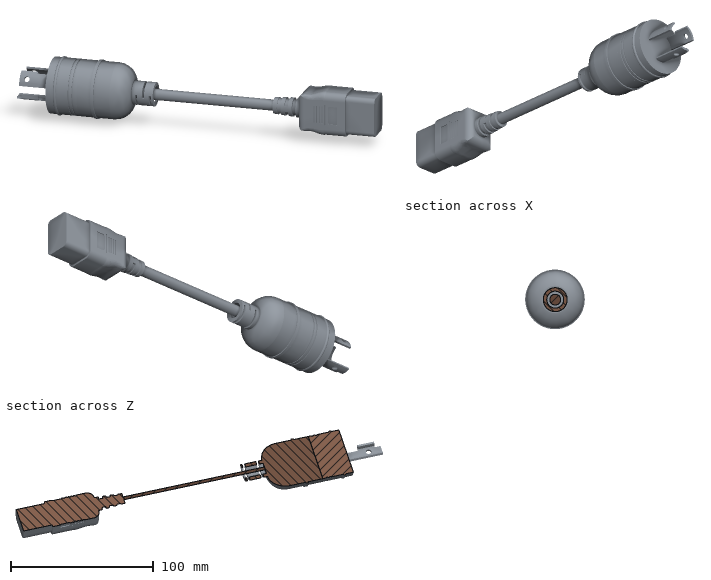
import cadquery as cq
import math


PLUG_FACE = 25.8
SHELL_START = 48.3
DOME_START = 72.3
DOME_RADIUS = 13.1
COLLAR_START = 85.1
COLLAR_END = 100.6
RELIEF_START = 187.4
BLOCK_START = 207.0
LOFT_START = 212.0
GRIP_END = 227.0
SLEEVE_END = 242.0
CORD_END = 262.8

PLUG_RADIUS = 40.2 / 2
RING_RADIUS = 41.8 / 2
FRONT_RING_START = 31.3
FRONT_RING_WIDTH = 2.0
SHELL_RING_START = 58.5
SHELL_RING_WIDTH = 2.0
GROOVE_DEPTH = 0.5
GROOVES = [(42.0, 1.0), (44.7, 1.0)]

BLADE_OUTER = 11.8
BLADE_INNER = 10.2
BLADE_THICKNESS = BLADE_OUTER - BLADE_INNER
BLADE_TIP = 4.2
HOOK_END = 16.3
HOLE_X = 9.5
HOLE_DIAMETER = 4.0
PLAIN_BLADE_ANGLE = 30
LATCH_BLADE_ANGLE = 150
EARTH_BLADE_ANGLE = 270
PLAIN_BLADE_HALF_SPAN = 22
LATCH_BLADE_HALF_SPAN = 25
LATCH_HOOK_SPAN = 8
EARTH_BLADE_START = 255
EARTH_BLADE_END = 292
EARTH_HOOK_START = 249
EARTH_LIP_OUTER = 5.5
EARTH_LIP_TOP = -7.0
EARTH_LIP_BEND = 1.3

CABLE_RADIUS = 4.0
COLLAR_RADIUS = 17.0 / 2
COLLAR_BORE_RADIUS = 5.8
SLOT_WIDTH = 1.5
SLOT_PITCH = 5.0
MIDDLE_SLOT_X = 93.5
SLOT_PAST_AXIS = 1.18

RELIEF_SMALL_RADIUS = 11.8 / 2
RELIEF_LARGE_RADIUS = 14.5 / 2
RELIEF_GROOVE_RADIUS = 5.5
RELIEF_GROOVE_WIDTH = 2.5
RELIEF_GROOVE_STARTS = [190.5, 196.0, 201.5]
TAB_GROOVE_START = RELIEF_GROOVE_STARTS[1]
TAB_HEIGHT = 4.0

BLOCK_HALF_WIDTH = 23.5 / 2
BLOCK_HALF_HEIGHT = 27.0 / 2
BLOCK_CORNER = 2.4
BLOCK_END_ROUND = LOFT_START - BLOCK_START
SLEEVE_HALF_HEIGHT = 31.3 / 2
SLEEVE_CORNER = 5.0
SLOPE_START = 216.5
SLOPE_END = 224.1
SOCKET_INSET = 1.5

GRIP_START = 219.0
GRIP_PITCH = 1.97
GRIP_COUNT = 4
GRIP_GROOVE_WIDTH = 0.8
GRIP_HEIGHT = 12.4
LONG_GRIP_HEIGHT = 15.5
PANEL_START = 229.5
PANEL_END = 236.2
PANEL_HEIGHT = 13.1
PANEL_CORNER = 0.8
SIDE_RECESS = 0.5


def cylinder(start, end, radius):
    return cq.Workplane("YZ", origin=(start, 0, 0)).circle(radius).extrude(end - start)


def tube(start, end, outer, inner):
    return cq.Workplane("YZ", origin=(start, 0, 0)).circle(outer).circle(inner).extrude(end - start)


def block(x_range, y_range, z_range):
    """Box between the given low and high limits."""
    low = cq.Vector(x_range[0], y_range[0], z_range[0])
    high = cq.Vector(x_range[1], y_range[1], z_range[1])
    size = high - low
    return cq.Workplane(cq.Solid.makeBox(size.x, size.y, size.z, low))


def polar(radius, degrees):
    angle = math.radians(degrees)
    return radius * math.cos(angle), radius * math.sin(angle)


def curved_blade(start, end, first_angle, last_angle):
    """Plate bent about the X axis between two angles."""
    middle = (first_angle + last_angle) / 2
    return (
        cq.Workplane("YZ", origin=(start, 0, 0))
        .moveTo(*polar(BLADE_INNER, first_angle))
        .lineTo(*polar(BLADE_OUTER, first_angle))
        .threePointArc(polar(BLADE_OUTER, middle), polar(BLADE_OUTER, last_angle))
        .lineTo(*polar(BLADE_INNER, last_angle))
        .threePointArc(polar(BLADE_INNER, middle), polar(BLADE_INNER, first_angle))
        .close()
        .extrude(end - start)
    )


def blade_hole(angle):
    """Radial cutter through a blade."""
    y, z = polar(1, angle)
    plane = cq.Plane(origin=(HOLE_X, 0, 0), xDir=(1, 0, 0), normal=(0, y, z))
    return cq.Workplane(plane).circle(HOLE_DIAMETER / 2).extrude(PLUG_RADIUS)


def plain_blade():
    first = PLAIN_BLADE_ANGLE - PLAIN_BLADE_HALF_SPAN
    last = PLAIN_BLADE_ANGLE + PLAIN_BLADE_HALF_SPAN
    return curved_blade(BLADE_TIP, PLUG_FACE, first, last).cut(blade_hole(PLAIN_BLADE_ANGLE))


def latch_blade():
    first = LATCH_BLADE_ANGLE - LATCH_BLADE_HALF_SPAN
    last = LATCH_BLADE_ANGLE + LATCH_BLADE_HALF_SPAN
    blade = curved_blade(BLADE_TIP, PLUG_FACE, first, last)
    hook = curved_blade(BLADE_TIP, HOOK_END, first - LATCH_HOOK_SPAN, first)
    return blade.union(hook).cut(blade_hole(LATCH_BLADE_ANGLE))


def earth_blade():
    """Longest blade, with a side hook that ends in an upright lip."""
    blade = curved_blade(0, PLUG_FACE, EARTH_BLADE_START, EARTH_BLADE_END)
    hook = curved_blade(BLADE_TIP, HOOK_END, EARTH_HOOK_START, EARTH_BLADE_START)
    lip_bottom = polar(BLADE_OUTER, EARTH_HOOK_START)[1]
    lip = block(
        (BLADE_TIP, HOOK_END),
        (-EARTH_LIP_OUTER, BLADE_THICKNESS - EARTH_LIP_OUTER),
        (lip_bottom, EARTH_LIP_TOP),
    )
    lip = lip.edges("|X and <Y and <Z").fillet(EARTH_LIP_BEND)
    return blade.union(hook).union(lip).cut(blade_hole(EARTH_BLADE_ANGLE))


def make_plug():
    """Plug front with a raised rounded ring, two grooves and three blades."""
    plug = cylinder(PLUG_FACE, SHELL_START, PLUG_RADIUS)
    ring_end = FRONT_RING_START + FRONT_RING_WIDTH
    ring_middle = (FRONT_RING_START + ring_end) / 2
    ring = (
        cq.Workplane("XZ")
        .moveTo(FRONT_RING_START, 0)
        .lineTo(FRONT_RING_START, PLUG_RADIUS)
        .threePointArc((ring_middle, RING_RADIUS), (ring_end, PLUG_RADIUS))
        .lineTo(ring_end, 0)
        .close()
        .revolve(360, (0, 0, 0), (1, 0, 0))
    )
    plug = plug.union(ring)
    for start, width in GROOVES:
        plug = plug.cut(tube(start, start + width, RING_RADIUS, PLUG_RADIUS - GROOVE_DEPTH))
    for blade in (plain_blade(), latch_blade(), earth_blade()):
        plug = plug.union(blade)
    return plug


def collar_slot(index):
    """Slot cut past the axis: from above in the middle of the collar, from below beside it."""
    middle = MIDDLE_SLOT_X + index * SLOT_PITCH
    if index == 0:
        z_range = (-SLOT_PAST_AXIS, PLUG_RADIUS)
    else:
        z_range = (-PLUG_RADIUS, SLOT_PAST_AXIS)
    x_range = (middle - SLOT_WIDTH / 2, middle + SLOT_WIDTH / 2)
    return block(x_range, (-PLUG_RADIUS, PLUG_RADIUS), z_range)


def make_shell():
    """Domed rear shell with a raised ring and a slotted collar that clears the cable."""
    dome_length = COLLAR_START - DOME_START
    dome_drop = DOME_RADIUS - math.sqrt(DOME_RADIUS**2 - dome_length**2)
    shell = (
        cq.Workplane("XZ")
        .moveTo(SHELL_START, 0)
        .lineTo(SHELL_START, PLUG_RADIUS)
        .lineTo(DOME_START, PLUG_RADIUS)
        .radiusArc((COLLAR_START, PLUG_RADIUS - dome_drop), DOME_RADIUS)
        .lineTo(COLLAR_START, 0)
        .close()
        .revolve(360, (0, 0, 0), (1, 0, 0))
    )
    collar = tube(COLLAR_START, COLLAR_END, COLLAR_RADIUS, COLLAR_BORE_RADIUS)
    for index in (-1, 0, 1):
        collar = collar.cut(collar_slot(index))
    ring = cylinder(SHELL_RING_START, SHELL_RING_START + SHELL_RING_WIDTH, RING_RADIUS)
    return shell.union(ring).union(collar)


def make_cable():
    return cylinder(COLLAR_START, RELIEF_START, CABLE_RADIUS)


def strain_relief():
    """Tapered sleeve with three ring grooves; tabs on both sides bridge the middle groove."""
    sleeve = (
        cq.Workplane("XZ")
        .moveTo(RELIEF_START, 0)
        .lineTo(RELIEF_START, RELIEF_SMALL_RADIUS)
        .lineTo(BLOCK_START, RELIEF_LARGE_RADIUS)
        .lineTo(BLOCK_START, 0)
        .close()
        .revolve(360, (0, 0, 0), (1, 0, 0))
    )
    tab = block(
        (TAB_GROOVE_START, TAB_GROOVE_START + RELIEF_GROOVE_WIDTH),
        (-RELIEF_LARGE_RADIUS, RELIEF_LARGE_RADIUS),
        (-TAB_HEIGHT / 2, TAB_HEIGHT / 2),
    )
    for start in RELIEF_GROOVE_STARTS:
        groove = tube(start, start + RELIEF_GROOVE_WIDTH, RELIEF_LARGE_RADIUS, RELIEF_GROOVE_RADIUS)
        sleeve = sleeve.cut(groove.cut(tab))
    return sleeve


def rounded_section(x, half_height, corner):
    """Rounded rectangle of the connector width, for a YZ workplane, at the given X."""
    section = cq.Sketch().rect(2 * BLOCK_HALF_WIDTH, 2 * half_height).vertices().fillet(corner)
    return section.moved(cq.Location(cq.Vector(0, 0, x)))


def rounded_end(plane, half_size):
    """Long prism whose low X end is rounded towards both sides of the given half size."""
    reach = 2 * SLEEVE_HALF_HEIGHT
    return (
        cq.Workplane(plane)
        .moveTo(LOFT_START, half_size)
        .radiusArc((BLOCK_START, half_size - BLOCK_END_ROUND), -BLOCK_END_ROUND)
        .lineTo(BLOCK_START, BLOCK_END_ROUND - half_size)
        .radiusArc((LOFT_START, -half_size), -BLOCK_END_ROUND)
        .close()
        .extrude(reach, both=True)
    )


def block_rear():
    """Rear end of the connector, rounded over in height and in width."""
    section = rounded_section(BLOCK_START, BLOCK_HALF_HEIGHT, BLOCK_CORNER)
    rear = cq.Workplane("YZ").placeSketch(section).extrude(BLOCK_END_ROUND)
    rear = rear.intersect(rounded_end("XZ", BLOCK_HALF_HEIGHT))
    return rear.intersect(rounded_end("XY", BLOCK_HALF_WIDTH))


def block_grip():
    """Smooth change from the low rear section to the higher sleeve, with growing corners."""
    stations = [
        (LOFT_START, BLOCK_HALF_HEIGHT),
        (SLOPE_START, BLOCK_HALF_HEIGHT),
        ((SLOPE_START + SLOPE_END) / 2, (BLOCK_HALF_HEIGHT + SLEEVE_HALF_HEIGHT) / 2),
        (SLOPE_END, SLEEVE_HALF_HEIGHT),
        (GRIP_END, SLEEVE_HALF_HEIGHT),
    ]
    sections = []
    for x, half_height in stations:
        progress = (x - LOFT_START) / (GRIP_END - LOFT_START)
        corner = BLOCK_CORNER + progress * (SLEEVE_CORNER - BLOCK_CORNER)
        sections.append(rounded_section(x, half_height, corner))
    return cq.Workplane("YZ").placeSketch(*sections).loft()


def block_sleeve():
    """Straight sleeve and the smaller socket end that leaves it."""
    section = rounded_section(GRIP_END, SLEEVE_HALF_HEIGHT, SLEEVE_CORNER)
    sleeve = cq.Workplane("YZ").placeSketch(section).extrude(SLEEVE_END - GRIP_END)
    socket_width = 2 * (BLOCK_HALF_WIDTH - SOCKET_INSET)
    socket_height = 2 * (SLEEVE_HALF_HEIGHT - SOCKET_INSET)
    socket = (
        cq.Workplane("YZ", origin=(SLEEVE_END, 0, 0))
        .rect(socket_width, socket_height)
        .extrude(CORD_END - SLEEVE_END)
        .edges("|X")
        .fillet(SLEEVE_CORNER - SOCKET_INSET)
    )
    return sleeve.union(socket)


def side_recesses():
    """Cutters on the -Y side: short grip grooves, one long groove and the label panel."""
    y_range = (-2 * BLOCK_HALF_WIDTH, SIDE_RECESS - BLOCK_HALF_WIDTH)
    grooves = [(GRIP_START + i * GRIP_PITCH, GRIP_HEIGHT) for i in range(GRIP_COUNT)]
    grooves.append((GRIP_END, LONG_GRIP_HEIGHT))
    cutters = []
    for start, height in grooves:
        cutters.append(block((start, start + GRIP_GROOVE_WIDTH), y_range, (-height / 2, height / 2)))
    panel = block((PANEL_START, PANEL_END), y_range, (-PANEL_HEIGHT / 2, PANEL_HEIGHT / 2))
    cutters.append(panel.edges("|Y and <X").chamfer(PANEL_CORNER))
    return cutters


def make_connector():
    connector = strain_relief().union(block_rear()).union(block_grip()).union(block_sleeve())
    for cutter in side_recesses():
        connector = connector.cut(cutter).cut(cutter.mirror("XZ"))
    return connector


plug = make_plug()
shell = make_shell()
cable = make_cable()
connector = make_connector()

result = cq.Compound.makeCompound([plug.val(), shell.val(), cable.val(), connector.val()])